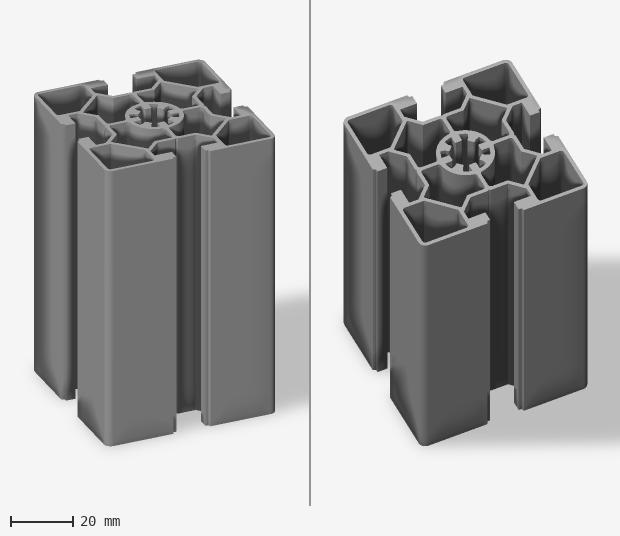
import cadquery as cq
import math

side = 60.0
length = 100.0
corner_radius = 2.4
half_side = side / 2

outer_wall = 1.3
thin_wall = 1.3
web_half = thin_wall / 2
diagonal_wall = thin_wall * math.sqrt(2)

mouth_half = 5.1
step_half = 6.1
step_depth = 1.0
step_draft = 0.4
lip_thickness = 4.5
slot_half = 11.2
slot_shoulder = 22.2
slot_floor = 17.7
lip_inside = half_side - lip_thickness
slot_bottom_half = slot_half - (slot_shoulder - slot_floor)
mark_half = 0.5
mark_depth = 0.4

chamber_inside = slot_half + thin_wall
chamber_outside = half_side - outer_wall
brace_outer_sum = 33.3
brace_inner_sum = brace_outer_sum - diagonal_wall
chamber_radius = 1.0

inner_wall = slot_floor - thin_wall
inner_offset = slot_shoulder - slot_half - diagonal_wall
inner_radius = 1.0
apex_radius = 0.4

ring_radius = 9.5
groove_radius = 8.0
tooth_tip = 5.1
tooth_half = 1.3
tooth_chamfer = 0.3
flare_start = 6.4
flare_half = 2.1


def prism(points):
    return cq.Workplane("XY").polyline(points).close().extrude(length)


def fillet_at(solid, points, radius):
    """Round the upright edges that stand on the given points."""
    reach = 0.01
    for x, y in points:
        box = cq.selectors.BoxSelector((x - reach, y - reach, 0), (x + reach, y + reach, length))
        solid = solid.edges("|Z").edges(box).fillet(radius)
    return solid


def t_slot():
    """Slot opening toward +Y, with a stepped mouth and a small V mark along its floor."""
    right_half = [
        (mark_half, slot_floor),
        (slot_bottom_half, slot_floor),
        (slot_half, slot_shoulder),
        (slot_half, lip_inside),
        (mouth_half, lip_inside),
        (mouth_half, half_side - step_depth),
        (step_half, half_side - step_depth),
        (step_half + step_draft, half_side),
    ]
    left_half = [(-x, y) for x, y in reversed(right_half)]
    return prism([(0, slot_floor - mark_depth)] + right_half + left_half)


def corner_chamber():
    """Hollow in the +X +Y corner."""
    brace_end = brace_outer_sum - chamber_inside
    rounded = [
        (chamber_inside, chamber_outside),
        (chamber_outside, chamber_outside),
        (chamber_outside, chamber_inside),
    ]
    chamber = prism([(chamber_inside, brace_end)] + rounded + [(brace_end, chamber_inside)])
    return fillet_at(chamber, rounded, chamber_radius)


def inner_chamber():
    """Hollow between the core ring and the brace, on the +X +Y diagonal."""
    apex_near = (brace_inner_sum - inner_offset) / 2
    apex_far = (brace_inner_sum + inner_offset) / 2
    upper_half = [
        (web_half, inner_wall),
        (inner_wall - inner_offset, inner_wall),
        (apex_near, apex_far),
    ]
    lower_half = [(y, x) for x, y in reversed(upper_half)]
    chamber = prism([(web_half, web_half)] + upper_half + lower_half)
    chamber = chamber.cut(cq.Workplane("XY").circle(ring_radius).extrude(length))
    web_root = math.sqrt(ring_radius**2 - web_half**2)
    rounded = [(web_half, web_root), (web_half, inner_wall)]
    rounded += [(y, x) for x, y in rounded]
    chamber = fillet_at(chamber, rounded, inner_radius)
    return fillet_at(chamber, [(apex_near, apex_far), (apex_far, apex_near)], apex_radius)


def tooth(root_points):
    """Tooth on +X with a chamfered tip; root_points shape its upper side out into the ring."""
    upper = [(tooth_tip, tooth_half - tooth_chamfer), (tooth_tip + tooth_chamfer, tooth_half)] + root_points
    lower = [(x, -y) for x, y in reversed(upper)]
    return prism(upper + lower)


def core_bore():
    """Bore of the ring, less four straight teeth on the axes and four flared ones between them."""
    root = (groove_radius + ring_radius) / 2
    straight = tooth([(root, tooth_half)])
    flared = tooth([(flare_start, tooth_half), (groove_radius, flare_half), (root, flare_half)])
    bore = cq.Workplane("XY").circle(groove_radius).extrude(length)
    for angle in (0, 90, 180, 270):
        bore = bore.cut(straight.rotate((0, 0, 0), (0, 0, 1), angle))
        bore = bore.cut(flared.rotate((0, 0, 0), (0, 0, 1), angle + 45))
    return bore


result = cq.Workplane("XY").rect(side, side).extrude(length).edges("|Z").fillet(corner_radius)
for hollow in (t_slot(), corner_chamber(), inner_chamber()):
    for quarter_turn in (0, 90, 180, 270):
        result = result.cut(hollow.rotate((0, 0, 0), (0, 0, 1), quarter_turn))
result = result.cut(core_bore())